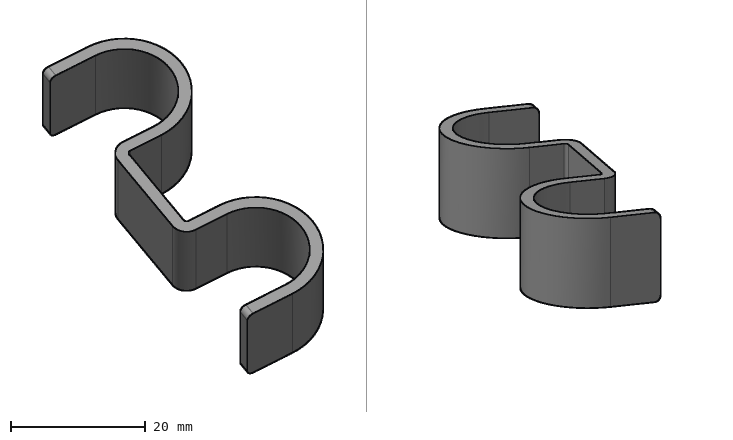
import cadquery as cq

length = 56.0
depth = 18.0
height = 14.0
thickness = 2.0
arch_outer_radius = 10.0
bend_inner_radius = 0.5
tip_corner_radius = 1.0

arch_inner_radius = arch_outer_radius - thickness
bend_outer_radius = bend_inner_radius + thickness
arch_x = length / 2 - arch_outer_radius
arch_y = depth - arch_outer_radius
leg_inside_x = arch_x - arch_outer_radius
leg_outside_x = arch_x - arch_inner_radius


def right_half():
    """Bent strip from the middle of the web to the right-hand tip."""
    profile = (
        cq.Workplane("XY")
        .moveTo(0, 0)
        .lineTo(leg_outside_x - bend_outer_radius, 0)
        .radiusArc((leg_outside_x, bend_outer_radius), -bend_outer_radius)
        .lineTo(leg_outside_x, arch_y)
        .threePointArc(
            (arch_x, arch_y + arch_inner_radius),
            (arch_x + arch_inner_radius, arch_y),
        )
        .lineTo(arch_x + arch_inner_radius, 0)
        .lineTo(arch_x + arch_outer_radius, 0)
        .lineTo(arch_x + arch_outer_radius, arch_y)
        .threePointArc((arch_x, depth), (leg_inside_x, arch_y))
        .lineTo(leg_inside_x, bend_outer_radius)
        .radiusArc((leg_inside_x - bend_inner_radius, thickness), bend_inner_radius)
        .lineTo(0, thickness)
        .close()
    )
    return profile.extrude(height)


def round_tip(half):
    """Round the two free corners at the end of the outer leg."""
    tip_edges = half.faces("<Y").edges("|X").edges(">X")
    return tip_edges.fillet(tip_corner_radius)


half_strip = round_tip(right_half())
result = half_strip.union(half_strip.mirror("YZ"), clean=True)